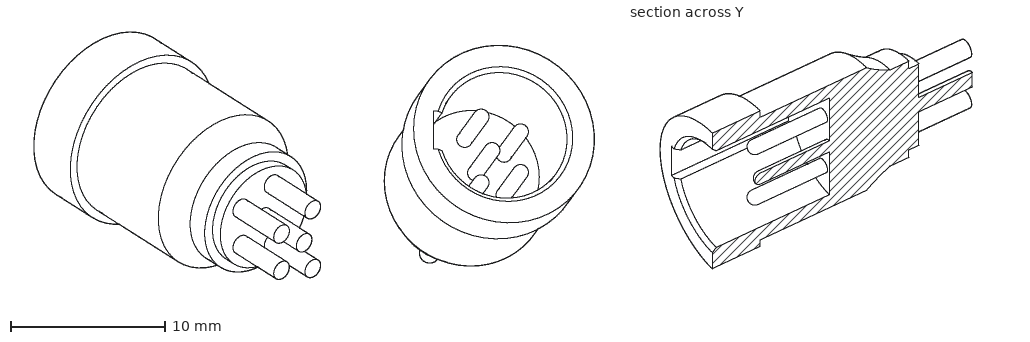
import cadquery as cq
import math

collar_end = 3.77
body_end = 12.15
taper_end = 14.0
neck_end = 15.5
rim_end = 16.3
total_length = 20.5

collar_diameter = 12.0
body_diameter = 10.86
neck_diameter = 8.53
rim_diameter = 7.22
taper_hollow = 0.06

socket_depth = 9.22
socket_radius = 4.25
mouth_chamfer = 0.3
key_width = 2.56
key_reach = 4.67

contact_circle_radius = 2.34
contact_count_around = 5
pin_diameter = 1.02
pin_tip = 3.35
wire_diameter = 1.31


def make_shell():
    """Revolve the stepped outer profile around the X axis."""
    body_radius = body_diameter / 2
    neck_radius = neck_diameter / 2
    taper_length = taper_end - body_end
    taper_drop = body_radius - neck_radius
    taper_chord = math.hypot(taper_length, taper_drop)
    taper_middle = (
        (body_end + taper_end) / 2 - taper_hollow * taper_drop / taper_chord,
        (body_radius + neck_radius) / 2 - taper_hollow * taper_length / taper_chord,
    )
    return (
        cq.Workplane("XY")
        .lineTo(0, collar_diameter / 2)
        .lineTo(collar_end, collar_diameter / 2)
        .lineTo(collar_end, body_radius)
        .lineTo(body_end, body_radius)
        .threePointArc(taper_middle, (taper_end, neck_radius))
        .lineTo(neck_end, neck_radius)
        .lineTo(neck_end, rim_diameter / 2)
        .lineTo(rim_end, rim_diameter / 2)
        .lineTo(rim_end, 0)
        .close()
        .revolve(360, (0, 0), (1, 0))
    )


def make_socket():
    """Round cavity with a chamfered mouth and a keyway on the +Y side."""
    bore = (
        cq.Workplane("XY")
        .lineTo(0, socket_radius + mouth_chamfer)
        .lineTo(mouth_chamfer, socket_radius)
        .lineTo(socket_depth, socket_radius)
        .lineTo(socket_depth, 0)
        .close()
        .revolve(360, (0, 0), (1, 0))
    )
    keyway = cq.Workplane("XY").box(
        socket_depth, key_reach, key_width, centered=(False, False, True)
    )
    return bore.union(keyway)


def contact_positions():
    """Y and Z of every contact."""
    positions = [(0, 0)]
    for step in range(1, contact_count_around):
        angle = step * 2 * math.pi / contact_count_around
        y = contact_circle_radius * math.cos(angle)
        z = contact_circle_radius * math.sin(angle)
        positions.append((y, z))
    return positions


def make_pins():
    """Round-nosed pins standing on the socket floor."""
    nose_centre = pin_tip + pin_diameter / 2
    shanks = (
        cq.Workplane("YZ", origin=(nose_centre, 0, 0))
        .pushPoints(contact_positions())
        .circle(pin_diameter / 2)
        .extrude(socket_depth - nose_centre)
    )
    noses = (
        cq.Workplane("YZ", origin=(nose_centre, 0, 0))
        .pushPoints(contact_positions())
        .sphere(pin_diameter / 2)
    )
    return shanks.union(noses)


def make_wires():
    """Straight wire ends leaving the rear face."""
    return (
        cq.Workplane("YZ", origin=(rim_end, 0, 0))
        .pushPoints(contact_positions())
        .circle(wire_diameter / 2)
        .extrude(total_length - rim_end)
    )


result = make_shell().cut(make_socket()).union(make_pins()).union(make_wires())